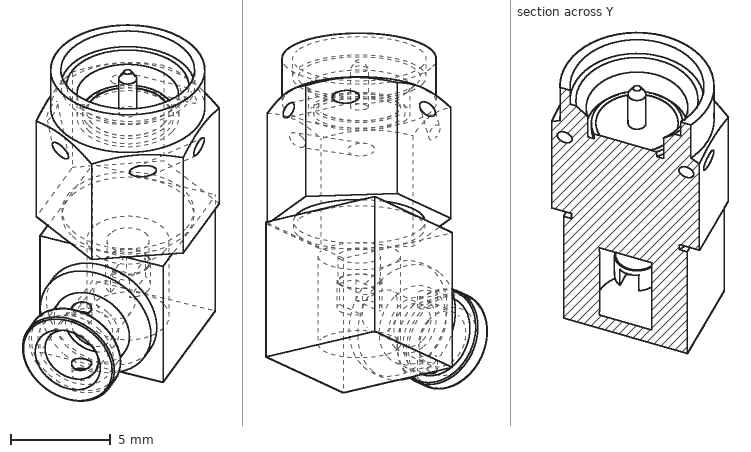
import cadquery as cq
import math


body_width = 6.7
body_height = 7.15
neck_radius = 3.3

nut_bottom = 7.47
nut_shoulder = 13.78
plug_top = 16.1
across_flats = 8.0
across_corners = across_flats / math.cos(math.radians(30))
collar_radius = 3.86
nut_bore_radius = 3.35
nut_chamfer_angle = 30

wire_hole_diameter = 0.68
wire_hole_offset = 3.6
wire_hole_z = 12.69
wire_hole_count = 3

shell_top = plug_top - 0.97
mouth_radius = 3.06
shell_bore_radius = 2.55
mouth_depth = mouth_radius - shell_bore_radius
shell_floor = 13.2
rim_top = 13.52
insulator_rim_radius = 2.29
insulator_radius = 2.06
insulator_top = rim_top + 0.02
pin_top = 15.97
pin_radius = 0.45
pin_tip_radius = 0.2
pin_tip_length = 0.42

socket_z = 3.28
flange_radius = 3.01
flange_end = 4.09
socket_neck_radius = 2.06
cone_end = 4.6
rim_start = 6.68
rim_radius = 2.5
rim_chamfer = 0.08
socket_end = 7.65
socket_mouth_radius = 1.77
socket_bore_radius = 1.45
socket_bore_depth = 3.06
socket_mouth_depth = 0.48
entry_radius = 1.13
cross_hole_diameter = 1.0
cross_hole_offset = 5.9

chamber_radius = 2.06
chamber_bottom = 0.97
chamber_top = 5.64
contact_radius = 1.13
contact_stem_radius = 1.06
contact_bottom = 2.9
contact_slot_width = 1.03
contact_slot_top = 3.98
contact_shoulder = 4.3


def z_cylinder(radius, bottom, top):
    return cq.Workplane("XY").workplane(offset=bottom).circle(radius).extrude(top - bottom)


def revolve_about_z(profile):
    """Revolve a closed (radius, z) profile about the Z axis."""
    return cq.Workplane("XZ").polyline(profile).close().revolve(360, (0, 0), (0, 1))


def revolve_about_socket(profile):
    """Revolve a closed (radius, distance) profile about the socket axis, distance running along -Y."""
    points = [(radius, -distance) for radius, distance in profile]
    solid = cq.Workplane("XY").polyline(points).close().revolve(360, (0, 0), (0, 1))
    return solid.translate((0, 0, socket_z))


def make_nut():
    corner_radius = across_corners / 2
    chamfer_drop = (corner_radius - collar_radius) * math.tan(math.radians(nut_chamfer_angle))
    hexagon = (
        cq.Workplane("XY")
        .workplane(offset=nut_bottom)
        .polygon(6, across_corners)
        .extrude(nut_shoulder - nut_bottom)
        .rotate((0, 0, 0), (0, 0, 1), 30)
    )
    chamfer_envelope = revolve_about_z([
        (0, nut_bottom),
        (corner_radius, nut_bottom),
        (corner_radius, nut_shoulder - chamfer_drop),
        (collar_radius, nut_shoulder),
        (0, nut_shoulder),
    ])
    nut = hexagon.intersect(chamfer_envelope)
    nut = nut.union(z_cylinder(collar_radius, nut_shoulder, plug_top))
    return nut.cut(z_cylinder(nut_bore_radius, nut_bottom, plug_top))


def make_wire_hole(index):
    """One lock-wire hole, square to the radius through its corner of the hexagon."""
    hole = (
        cq.Workplane("YZ")
        .center(wire_hole_offset, wire_hole_z)
        .circle(wire_hole_diameter / 2)
        .extrude(across_flats, both=True)
    )
    return hole.rotate((0, 0, 0), (0, 0, 1), index * 360 / wire_hole_count)


def make_shell():
    """Round shell filling the nut bore, with a coned mouth and a raised insulator in a sunken ring."""
    shell = z_cylinder(neck_radius, body_height, nut_bottom)
    shell = shell.union(z_cylinder(nut_bore_radius, nut_bottom, shell_top))
    mouth = revolve_about_z([
        (0, shell_floor),
        (shell_bore_radius, shell_floor),
        (shell_bore_radius, shell_top - mouth_depth),
        (mouth_radius, shell_top),
        (0, shell_top),
    ])
    insulator_rim = z_cylinder(insulator_rim_radius, shell_floor, rim_top)
    insulator = z_cylinder(insulator_radius, shell_floor, insulator_top)
    return shell.cut(mouth).union(insulator_rim).union(insulator)


def make_pin():
    return revolve_about_z([
        (0, shell_floor),
        (pin_radius, shell_floor),
        (pin_radius, pin_top - pin_tip_length),
        (pin_tip_radius, pin_top),
        (0, pin_top),
    ])


def make_socket():
    return revolve_about_socket([
        (0, body_width / 2),
        (flange_radius, body_width / 2),
        (flange_radius, flange_end),
        (socket_neck_radius, cone_end),
        (socket_neck_radius, rim_start),
        (rim_radius - rim_chamfer, rim_start),
        (rim_radius, rim_start + rim_chamfer),
        (rim_radius, socket_end - rim_chamfer),
        (rim_radius - rim_chamfer, socket_end),
        (0, socket_end),
    ])


def make_socket_bore():
    """Stepped bore running from the coned socket mouth into the contact chamber."""
    seat = socket_end - socket_bore_depth
    return revolve_about_socket([
        (0, 0),
        (entry_radius, 0),
        (entry_radius, seat),
        (socket_bore_radius, seat),
        (socket_bore_radius, socket_end - socket_mouth_depth),
        (socket_mouth_radius, socket_end),
        (0, socket_end),
    ])


def make_contact():
    """Round contact hanging from the chamber roof, with a slot open at its lower end."""
    slot = cq.Workplane("XY").box(
        contact_slot_width, 2 * contact_radius, contact_slot_top - contact_bottom, centered=(True, True, False)
    )
    contact = z_cylinder(contact_radius, contact_bottom, contact_shoulder)
    contact = contact.union(z_cylinder(contact_stem_radius, contact_shoulder, chamber_top))
    return contact.cut(slot.translate((0, 0, contact_bottom)))


body = cq.Workplane("XY").box(body_width, body_width, body_height, centered=(True, True, False))
cross_hole = z_cylinder(cross_hole_diameter / 2, 0, body_height).translate((0, -cross_hole_offset, 0))

result = body.union(make_socket()).cut(make_socket_bore()).cut(cross_hole)
result = result.cut(z_cylinder(chamber_radius, chamber_bottom, chamber_top)).union(make_contact())
result = result.union(make_shell()).union(make_nut()).union(make_pin())
for hole_index in range(wire_hole_count):
    result = result.cut(make_wire_hole(hole_index))